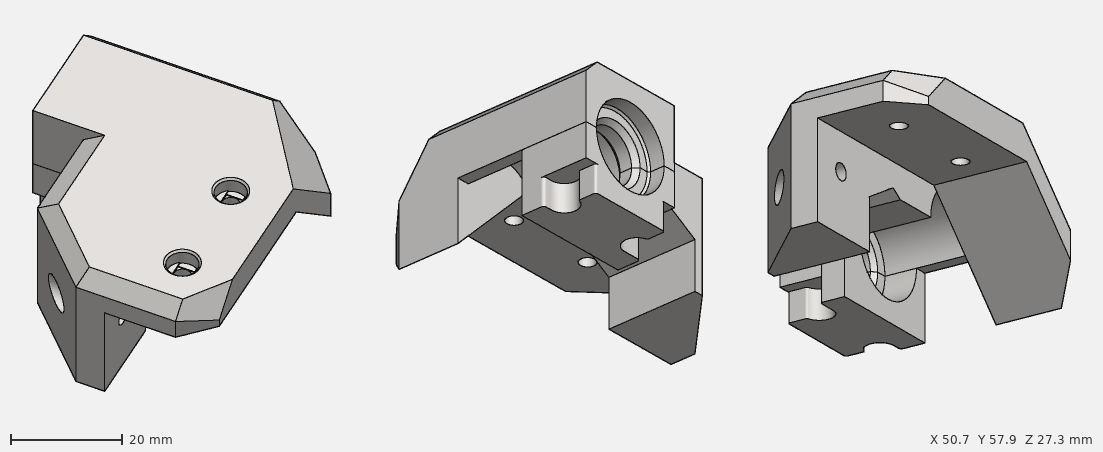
import cadquery as cq
import math

LENGTH = 50.71
DEPTH = 57.93
HEIGHT = 27.27

REACH = 200.0

ARM_WIDTH = 24.0
ARM_FRONT = DEPTH - ARM_WIDTH
WALL_LEFT = 10.1
DIAGONAL_SIDE = 14.85
CORNER_CUT = 5.9

EDGE_DROP = 3.0
BACK_SLOPE_START = 37.7

PARTING_HEIGHT = 13.6
POCKET_LEFT = 30.7
POCKET_ROOF = 20.2
LEG_BACK = 16.9
LEG_SHOULDER = 10.76
PEAK_Y = 24.5
PEAK_HEIGHT = 15.1
PEAK_BACK = 26.9

SCREW_HOLE = 3.4
SCREW_HEAD = 6.0
TOP_SCREW_X = 40.8
TOP_SCREW_YS = (11.2, 31.2)
TOP_HEAD_DEPTH = 3.0
TOP_HEAD_CHAMFER = 0.4
TOP_STEP = 0.2
LEG_SCREW_Y = 7.57
LEG_SCREW_HEIGHT = 12.35
LEG_SCREW_SEAT_X = 25.5

BORE_Y = DEPTH - ARM_WIDTH / 2
BORE_HEIGHT = PARTING_HEIGHT
SEAT_RADIUS = 9.2
SEAT_DEPTH = 3.7
SEAT_CHAMFER = 0.45
LIP_RADIUS = 5.9
LIP_CHAMFER = 0.95
LIP_FRONT_CHAMFER_DEPTH = 1.2
LIP_END = 7.65

CLAMP_LENGTH = 15.4
CLAMP_FRONT = 31.8
LUG_LEFT = WALL_LEFT
LUG_FILLET = 0.65
FOOT_HEIGHT = 6.1
FOOT_HALF_WIDTH = 9.35
FOOT_FILLET = 0.5
NOTCH_RADIUS = SCREW_HEAD / 2
NOTCH_X = LUG_LEFT - NOTCH_RADIUS
NOTCH_OFFSET = 9.9


def box(x0, x1, y0, y1, z0, z1):
    """Block given by its limits along X, Y and Z."""
    return cq.Workplane("XY").box(x1 - x0, y1 - y0, z1 - z0, centered=False).translate((x0, y0, z0))


def prism_along_x(points, x0, x1):
    """Polygon of (y, z) points swept from x0 to x1."""
    return cq.Workplane("YZ").polyline(points).close().extrude(x1 - x0).translate((x0, 0, 0))


def slice_off(body, point, normal):
    """Remove everything beyond the plane through point, on the side normal points to."""
    waste = cq.Workplane(cq.Plane(origin=point, normal=normal)).rect(REACH, REACH).extrude(REACH)
    return body.cut(waste)


def bore():
    """Stepped bore: a seat at each end of a chamfered lip."""
    lip_mouth = LIP_RADIUS + LIP_CHAMFER
    profile = [
        (0, 0),
        (0, SEAT_RADIUS),
        (SEAT_DEPTH - SEAT_CHAMFER, SEAT_RADIUS),
        (SEAT_DEPTH, SEAT_RADIUS - SEAT_CHAMFER),
        (SEAT_DEPTH, lip_mouth),
        (SEAT_DEPTH + LIP_FRONT_CHAMFER_DEPTH, LIP_RADIUS),
        (LIP_END, LIP_RADIUS),
        (LIP_END + LIP_CHAMFER, lip_mouth),
        (LIP_END + LIP_CHAMFER, SEAT_RADIUS),
        (POCKET_LEFT, SEAT_RADIUS),
        (POCKET_LEFT, 0),
    ]
    half = cq.Workplane("XY").polyline(profile).close()
    return half.revolve(360, (0, 0, 0), (1, 0, 0)).translate((0, BORE_Y, BORE_HEIGHT))


def shell():
    """Full-height block with its arm and all its sloped top edges."""
    right = LENGTH - CORNER_CUT
    outline = [
        (WALL_LEFT, DIAGONAL_SIDE),
        (WALL_LEFT + DIAGONAL_SIDE, 0),
        (right, 0),
        (LENGTH, CORNER_CUT),
        (LENGTH, DEPTH - CORNER_CUT),
        (right, DEPTH),
        (WALL_LEFT, DEPTH),
    ]
    body = cq.Workplane("XY").polyline(outline).close().extrude(HEIGHT)
    edge = HEIGHT - EDGE_DROP
    root2 = math.sqrt(2)
    body = slice_off(body, (WALL_LEFT, DIAGONAL_SIDE, edge), (-1, 0, root2))
    body = body.union(box(0, POCKET_LEFT, ARM_FRONT, DEPTH, PARTING_HEIGHT, HEIGHT))
    body = slice_off(body, (WALL_LEFT, DIAGONAL_SIDE, edge), (-1, -1, root2))
    body = slice_off(body, (right, 0, edge), (0, -1, 1))
    body = slice_off(body, (right, 0, edge), (root2, -1, 1))
    body = slice_off(body, (BACK_SLOPE_START, DEPTH, edge), (0, 1, 1))
    return slice_off(body, (BACK_SLOPE_START, DEPTH, edge), (root2, 1, 1))


def underside_passage():
    """Open space between the leg and the back, with a peaked roof beside the leg."""
    profile = [
        (LEG_BACK, 0),
        (LEG_BACK, LEG_SHOULDER),
        (PEAK_Y, PEAK_HEIGHT),
        (PEAK_BACK, PARTING_HEIGHT),
        (DEPTH, PARTING_HEIGHT),
        (DEPTH, 0),
    ]
    return prism_along_x(profile, 0, POCKET_LEFT)


def right_pocket():
    """Open space under the roof on the right, closed behind by a 45 degree wall."""
    profile = [(0, 0), (0, POCKET_ROOF), (DEPTH - POCKET_ROOF, POCKET_ROOF), (DEPTH, 0)]
    return prism_along_x(profile, POCKET_LEFT, LENGTH)


def top_screw_hole(y):
    """Counterbored hole whose floor steps from a slot to a square to the round hole."""
    seat = HEIGHT - TOP_HEAD_DEPTH
    head = cq.Workplane("XY").circle(SCREW_HEAD / 2).extrude(TOP_HEAD_DEPTH)
    rim_radius = SCREW_HEAD / 2 + TOP_HEAD_CHAMFER
    rim = cq.Solid.makeCone(SCREW_HEAD / 2, rim_radius, TOP_HEAD_CHAMFER)
    head = head.union(cq.Workplane(rim).translate((0, 0, TOP_HEAD_DEPTH - TOP_HEAD_CHAMFER)))
    slot = cq.Workplane("XY").rect(SCREW_HOLE, SCREW_HEAD).extrude(-TOP_STEP)
    slot = slot.intersect(cq.Workplane("XY").circle(SCREW_HEAD / 2).extrude(-TOP_STEP))
    square = cq.Workplane("XY").rect(SCREW_HOLE, SCREW_HOLE).extrude(-2 * TOP_STEP)
    shank = cq.Workplane("XY").circle(SCREW_HOLE / 2).extrude(-HEIGHT)
    hole = head.union(slot).union(square).union(shank)
    return hole.translate((TOP_SCREW_X, y, seat))


def leg_screw_hole():
    """Counterbored hole along X, entering through the diagonal face."""
    axis = cq.Workplane("YZ").center(LEG_SCREW_Y, LEG_SCREW_HEIGHT)
    head = axis.circle(SCREW_HEAD / 2).extrude(LEG_SCREW_SEAT_X)
    return head.union(axis.circle(SCREW_HOLE / 2).extrude(POCKET_LEFT))


def make_housing():
    """Upper half of the arm together with the block, leg and 45 degree back wall."""
    body = shell().cut(underside_passage()).cut(right_pocket())
    body = body.cut(bore()).cut(leg_screw_hole())
    for y in TOP_SCREW_YS:
        body = body.cut(top_screw_hole(y))
    return body


def foot():
    """Narrow lower part of the clamp arm, with a screw head notch on each side beside the lug."""
    body = box(0, LUG_LEFT, BORE_Y - FOOT_HALF_WIDTH, BORE_Y + FOOT_HALF_WIDTH, 0, FOOT_HEIGHT)
    notch_front = BORE_Y - NOTCH_OFFSET
    notch_back = BORE_Y + NOTCH_OFFSET
    body = body.union(box(NOTCH_X, LUG_LEFT, notch_front, notch_back, 0, FOOT_HEIGHT))
    for y in (notch_front, notch_back):
        body = body.cut(cq.Workplane("XY").center(NOTCH_X, y).circle(NOTCH_RADIUS).extrude(FOOT_HEIGHT))
    left_of_notches = cq.selectors.BoxSelector((-1, 0, 0), (NOTCH_X, DEPTH, FOOT_HEIGHT))
    left_edges = body.edges("|Z").edges(left_of_notches)
    return left_edges.fillet(FOOT_FILLET)


def make_clamp():
    """Lower half of the arm, ending in a full-height lug."""
    lug = box(LUG_LEFT, CLAMP_LENGTH, CLAMP_FRONT, DEPTH, 0, PARTING_HEIGHT)
    lug = lug.edges("|Z and <X").fillet(LUG_FILLET)
    arm = box(0, CLAMP_LENGTH, ARM_FRONT, DEPTH, FOOT_HEIGHT, PARTING_HEIGHT)
    return lug.union(arm).union(foot()).cut(bore())


housing = make_housing()
clamp = make_clamp()
result = cq.Compound.makeCompound([housing.val(), clamp.val()])